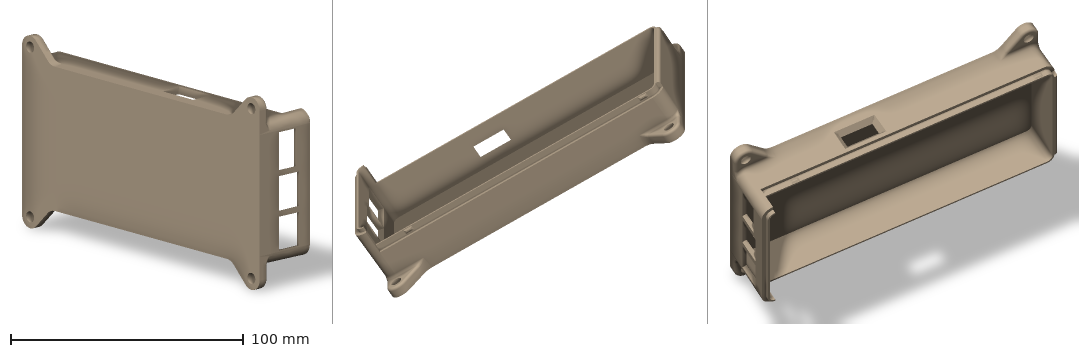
import cadquery as cq
import math


OVERALL_LENGTH = 149.3

SHOULDER_Y = 18.0
RIM_Y = 21.2
END_WALL_Y = 29.3
TONGUE_Y = 31.2

RIM_INSET = 1.5
LIP_ROUND = 1.3

DRAFT_ANGLE = 0.9
DRAFT_PER_DEPTH = math.tan(math.radians(DRAFT_ANGLE))
END_WALL_GROWTH = END_WALL_Y * DRAFT_PER_DEPTH
LIP_GROWTH = (RIM_Y - LIP_ROUND) * DRAFT_PER_DEPTH

BODY_LENGTH = OVERALL_LENGTH - END_WALL_GROWTH - LIP_GROWTH
BODY_HEIGHT = 64.2
CORNER_RADIUS = 5.1
WALL = 2.4
FLOOR = 2.4
LEFT_X = -BODY_LENGTH / 2
RIGHT_X = BODY_LENGTH / 2
TOP_Z = BODY_HEIGHT / 2
END_WALL_START_X = RIGHT_X - CORNER_RADIUS
FLAT_HALF_HEIGHT = TOP_Z - CORNER_RADIUS

LARGE = 298.6
SELECT_MARGIN = 0.1

EAR_RADIUS = CORNER_RADIUS
EAR_X = RIGHT_X - EAR_RADIUS
EAR_Z = 37.8
EAR_THICKNESS = 4.8
EAR_HOLE_DIAMETER = 5.0
EAR_ROOT_RADIUS = 6.3
EAR_EDGE_ROUND = 1.2
EAR_WALL_FILLET = 1.2

WINDOW_X = 16.7
WINDOW_Y = 10.9
WINDOW_LENGTH = 20.5
WINDOW_DEPTH = 10.9
WINDOW_FLARE = 2.5

PORTS = [(8.4, 27.2, 22.5), (-9.7, 7.6, 24.3), (-27.3, -10.5, 24.3)]
PORT_BOTTOM_Y = 10.5
PORT_FLARE = 1.0

BUMP_CENTERS_X = (-65.5, 53.5)
BUMP_Y = 19.9
BUMP_LENGTH = 4.2
BUMP_DEPTH = 2.1
BUMP_PROUD = 0.5
BUMP_SLOPE = 0.7


def depth_plane(y):
    """Sketch plane at depth y: local x is +X, local y is +Z, positive extrusion runs toward -Y."""
    plane = cq.Plane(origin=(0, y, 0), xDir=(1, 0, 0), normal=(0, -1, 0))
    return cq.Workplane(plane)


def block(x0, x1, y0, y1, z0, z1):
    """Box between two positions along each axis."""
    return cq.Workplane("XY").box(x1 - x0, y1 - y0, z1 - z0, centered=False).translate((x0, y0, z0))


def rounded_block(inset, y0, y1):
    """Straight block with the body outline moved inward by the inset."""
    length = BODY_LENGTH - 2 * inset
    height = BODY_HEIGHT - 2 * inset
    blank = depth_plane(y0).rect(length, height).extrude(y0 - y1)
    return blank.edges("|Y").fillet(CORNER_RADIUS - inset)


def drafted_body():
    """Body blank whose walls grow outward from the back plate to the end wall top."""
    growth = END_WALL_GROWTH
    sketch = cq.Sketch().rect(BODY_LENGTH + 2 * growth, BODY_HEIGHT + 2 * growth)
    sketch = sketch.vertices().fillet(CORNER_RADIUS + growth)
    return depth_plane(END_WALL_Y).placeSketch(sketch).extrude(END_WALL_Y, taper=DRAFT_ANGLE)


def ear_plate():
    """Back plate with four ears, each joined to a long side by a 45 degree flank."""
    diagonal = EAR_RADIUS * math.sqrt(0.5)
    flank_x = EAR_X - diagonal
    flank_z = EAR_Z + diagonal
    root_x = flank_x - (flank_z - TOP_Z)
    quarter = (
        depth_plane(0)
        .lineTo(RIGHT_X, 0)
        .lineTo(RIGHT_X, EAR_Z)
        .threePointArc((EAR_X, EAR_Z + EAR_RADIUS), (flank_x, flank_z))
        .lineTo(root_x, TOP_Z)
        .lineTo(0, TOP_Z)
        .close()
        .extrude(-EAR_THICKNESS)
    )
    root = cq.selectors.NearestToPointSelector((root_x, EAR_THICKNESS / 2, TOP_Z))
    quarter = quarter.edges("|Y").edges(root).fillet(EAR_ROOT_RADIUS)
    half = quarter.union(quarter.mirror("YZ"))
    return half.union(half.mirror("XY"))


def rim_cutter():
    """Material removed around and above the walls to leave the narrow rim and the tall end wall."""
    above = block(-LARGE, END_WALL_START_X, RIM_Y, LARGE, -LARGE, LARGE)
    shoulder = block(-LARGE, END_WALL_START_X, SHOULDER_Y, RIM_Y, -LARGE, LARGE)
    lip_zone = block(-LARGE, 0, SHOULDER_Y, RIM_Y, -FLAT_HALF_HEIGHT, FLAT_HALF_HEIGHT)
    shoulder = shoulder.cut(rounded_block(RIM_INSET, SHOULDER_Y, RIM_Y)).cut(lip_zone)
    return above.union(shoulder)


def tongue():
    """Thin raised strip along the top of the end wall."""
    strip = rounded_block(RIM_INSET, END_WALL_Y - WALL, TONGUE_Y)
    return strip.intersect(block(END_WALL_START_X, LARGE, 0, LARGE, -LARGE, LARGE))


def ear_face_edges(half_height):
    """Selector for edges on the +Y face of the ears whose centres lie within the half height."""
    low = (-LARGE, EAR_THICKNESS - SELECT_MARGIN, -half_height)
    high = (LARGE, EAR_THICKNESS + SELECT_MARGIN, half_height)
    return cq.selectors.BoxSelector(low, high)


def outer_shell():
    """Drafted body on the ear plate, with the wall junctions filleted and the ear edges rounded."""
    shell = drafted_body().union(ear_plate())
    junction_z = TOP_Z + EAR_THICKNESS * DRAFT_PER_DEPTH + SELECT_MARGIN
    shell = shell.edges(ear_face_edges(junction_z)).fillet(EAR_WALL_FILLET)
    return shell.edges(ear_face_edges(LARGE)).fillet(EAR_EDGE_ROUND)


def round_lip(shell):
    """Round the open edge of the lip on the left wall."""
    lip_edge = cq.selectors.NearestToPointSelector((LEFT_X - LIP_GROWTH, RIM_Y, 0))
    return shell.edges("|Z").edges(lip_edge).fillet(LIP_ROUND)


def ear_holes():
    """Cutters for the through holes at the ear centres."""
    centers = [(x, z) for x in (-EAR_X, EAR_X) for z in (-EAR_Z, EAR_Z)]
    return depth_plane(0).pushPoints(centers).circle(EAR_HOLE_DIAMETER / 2).extrude(-EAR_THICKNESS)


def frustum(plane, length, width, height, inset):
    """Rectangular frustum narrowing by the inset on every side along its height."""
    return (
        cq.Workplane(plane)
        .rect(length, width)
        .workplane(offset=height)
        .rect(length - 2 * inset, width - 2 * inset)
        .loft(ruled=True)
    )


def window_cutter():
    """Flared opening in the top wall, widest at the outside."""
    outer_z = TOP_Z + END_WALL_GROWTH
    depth = outer_z - (TOP_Z - WALL)
    plane = cq.Plane(origin=(WINDOW_X, WINDOW_Y, outer_z), xDir=(1, 0, 0), normal=(0, 0, -1))
    return frustum(plane, WINDOW_LENGTH, WINDOW_DEPTH, depth, WINDOW_FLARE)


def port_cutter(z0, z1, top_y):
    """Flared opening in the end wall, widest at the inside."""
    inner_x = RIGHT_X - WALL
    depth = WALL + END_WALL_GROWTH
    center = (inner_x, (PORT_BOTTOM_Y + top_y) / 2, (z0 + z1) / 2)
    plane = cq.Plane(origin=center, xDir=(0, 1, 0), normal=(1, 0, 0))
    return frustum(plane, top_y - PORT_BOTTOM_Y, z1 - z0, depth, PORT_FLARE)


def snap_bump(x, side):
    """Small bevelled bump on the rim; side is +1 for the top wall and -1 for the bottom wall."""
    base_z = side * (TOP_Z - RIM_INSET)
    center = (x, BUMP_Y, base_z)
    plane = cq.Plane(origin=center, xDir=(1, 0, 0), normal=(0, 0, side))
    return frustum(plane, BUMP_LENGTH, BUMP_DEPTH, BUMP_PROUD, BUMP_SLOPE)


result = round_lip(outer_shell().cut(rim_cutter()))
result = result.union(tongue())
result = result.cut(rounded_block(WALL, FLOOR, LARGE))
result = result.cut(ear_holes())
result = result.cut(window_cutter())
for port in PORTS:
    result = result.cut(port_cutter(*port))
for bump_x in BUMP_CENTERS_X:
    for bump_side in (1, -1):
        result = result.union(snap_bump(bump_x, bump_side))